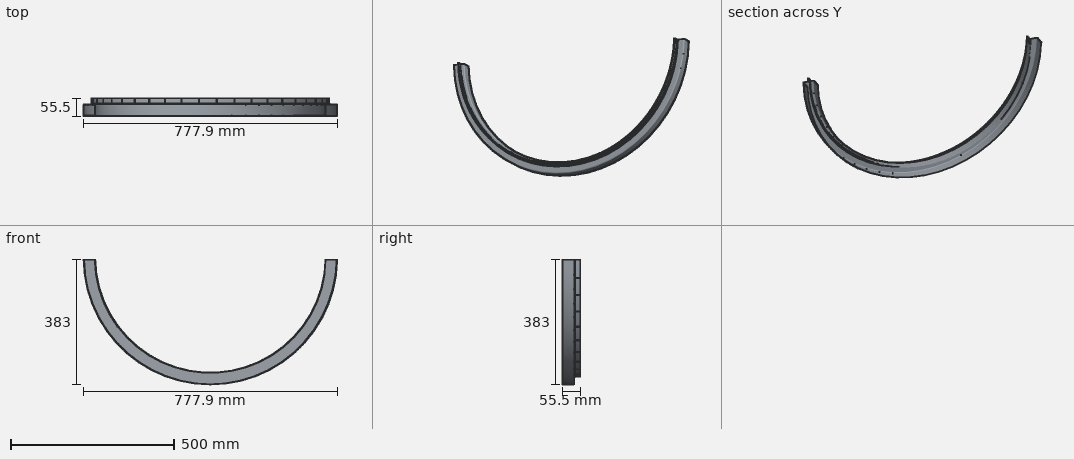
import cadquery as cq

outer_radius = 389.0
channel_width = 36.5
channel_depth = 36.5
end_drop = 6.0

wall = 1.5
front_bend = 2.0
back_bend = 4.0
flange_bend = 2.0

flange_height = 19.0
flange_setback = 24.0
flange_thickness = 2 * wall

slit_width = 1.0
slit_pitch = 8.55
first_slit_angle = 3.1
slits_toward_plus_x = 10
slits_toward_minus_x = 10

inner_radius = outer_radius - channel_width
flange_outer_radius = outer_radius - flange_setback
flange_inner_radius = flange_outer_radius - flange_thickness
flange_mid_radius = flange_outer_radius - flange_thickness / 2
flange_tip = channel_depth + flange_height
bend_end = channel_depth + flange_bend
inside_bend = flange_bend + wall


def outer_section():
    """Outside of the sheet: rounded channel with the flange flaring out of its back wall."""
    return (
        cq.Workplane("XY")
        .moveTo(inner_radius + front_bend, 0)
        .lineTo(outer_radius - front_bend, 0)
        .radiusArc((outer_radius, front_bend), -front_bend)
        .lineTo(outer_radius, channel_depth - back_bend)
        .radiusArc((outer_radius - back_bend, channel_depth), -back_bend)
        .lineTo(flange_outer_radius + flange_bend, channel_depth)
        .radiusArc((flange_outer_radius, bend_end), flange_bend)
        .lineTo(flange_outer_radius, flange_tip)
        .lineTo(flange_inner_radius, flange_tip)
        .lineTo(flange_inner_radius, bend_end)
        .radiusArc((flange_inner_radius - flange_bend, channel_depth), flange_bend)
        .lineTo(inner_radius + back_bend, channel_depth)
        .radiusArc((inner_radius, channel_depth - back_bend), -back_bend)
        .lineTo(inner_radius, front_bend)
        .radiusArc((inner_radius + front_bend, 0), -front_bend)
        .close()
    )


def hollow_section():
    """Inside of the sheet: the back wall curls into the seam between the flange layers."""
    bore_inner = inner_radius + wall
    bore_outer = outer_radius - wall
    bore_back = channel_depth - wall
    front_corner = front_bend - wall
    back_corner = back_bend - wall
    return (
        cq.Workplane("XY")
        .moveTo(bore_inner + front_corner, wall)
        .lineTo(bore_outer - front_corner, wall)
        .radiusArc((bore_outer, wall + front_corner), -front_corner)
        .lineTo(bore_outer, bore_back - back_corner)
        .radiusArc((bore_outer - back_corner, bore_back), -back_corner)
        .lineTo(flange_mid_radius + inside_bend, bore_back)
        .radiusArc((flange_mid_radius, bend_end), inside_bend)
        .radiusArc((flange_mid_radius - inside_bend, bore_back), inside_bend)
        .lineTo(bore_inner + back_corner, bore_back)
        .radiusArc((bore_inner, bore_back - back_corner), -back_corner)
        .lineTo(bore_inner, wall + front_corner)
        .radiusArc((bore_inner + front_corner, wall), -front_corner)
        .close()
    )


def revolve_about_y(section):
    return section.revolve(360, (0, 0), (0, 1))


def slit(angle):
    """Cutter for one slit, open at the flange tip and ending where the bend begins."""
    return (
        cq.Workplane("XY")
        .box(slit_width, flange_tip - bend_end, 3 * flange_thickness)
        .translate((0, (flange_tip + bend_end) / 2, -flange_mid_radius))
        .rotate((0, 0, 0), (0, 1, 0), -angle)
    )


ring = revolve_about_y(outer_section()).cut(revolve_about_y(hollow_section()))

lower_half = (
    cq.Workplane("XY")
    .box(3 * outer_radius, 3 * flange_tip, 2 * outer_radius)
    .translate((0, 0, -end_drop - outer_radius))
)
result = ring.intersect(lower_half)

for index in range(-slits_toward_minus_x, slits_toward_plus_x):
    result = result.cut(slit(first_slit_angle + index * slit_pitch))